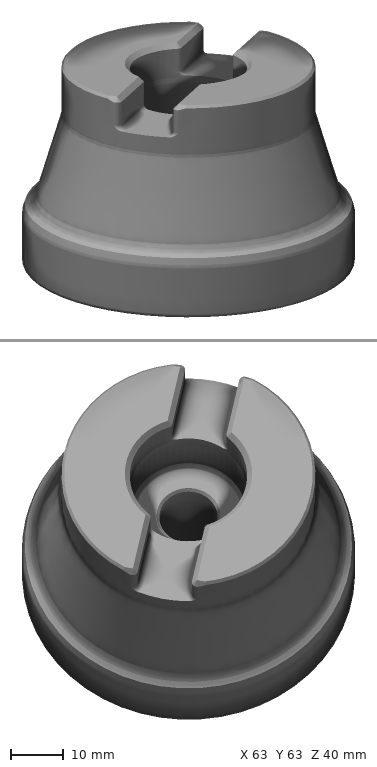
import cadquery as cq
import math

rim_radius = 31.5
total_height = 40.0

split_height = 12.1
split_radius = 61.2 / 2
disc_shoulder_radius = 30.95
disc_shoulder_height = 11.9
disc_corner_height = 10.35
disc_corner_fillet = 1.9
disc_bottom_fillet = 0.8

boss_radius = 48.0 / 2
boss_base_height = 29.95
boss_base_fillet = 1.9
boss_top_chamfer = 0.5
flare_radius = 29.1
flare_height = 13.05
flare_fillet = 2.5

bore_radius = 22.2 / 2
bore_step_height = 33.35
bore_taper_length = 1.1
lower_bore_radius = 22.0 / 2
lower_bore_depth = 16.7
seat_corner_chamfer = 0.75
seat_corner_fillet = 0.4
screw_hole_radius = 11.0 / 2
screw_hole_chamfer = 0.5

slot_width = 10.45
slot_depth = 6.4
slot_corner_round = 1.0
slot_floor_fillet = 0.95
slot_rim_chamfer = 0.95
slot_mouth_y = 23.1

slot_floor = total_height - slot_depth
seat_height = total_height - lower_bore_depth


def revolve_profile(points):
    """Solid of revolution about Z from (radius, height) points."""
    return cq.Workplane("XZ").polyline(points).close().revolve(360, (0, 0), (0, 1))


def circle_at(height):
    """Selector for the circular edge centred on Z nearest the given height."""
    return cq.selectors.NearestToPointSelector((0, 0, height))


def make_disc():
    disc = revolve_profile([
        (screw_hole_radius, 0),
        (rim_radius, 0),
        (rim_radius, disc_corner_height),
        (disc_shoulder_radius, disc_shoulder_height),
        (split_radius, split_height),
        (screw_hole_radius, split_height),
    ])
    disc = disc.edges(circle_at(disc_corner_height)).fillet(disc_corner_fillet)
    return disc.faces("<Z").edges(cq.selectors.RadiusNthSelector(-1)).fillet(disc_bottom_fillet)


def make_hub_blank():
    blank = revolve_profile([
        (0, split_height),
        (split_radius, split_height),
        (flare_radius, flare_height),
        (boss_radius, boss_base_height),
        (boss_radius, total_height - boss_top_chamfer),
        (boss_radius - boss_top_chamfer, total_height),
        (0, total_height),
    ])
    blank = blank.edges(circle_at(flare_height)).fillet(flare_fillet)
    return blank.edges(circle_at(boss_base_height)).fillet(boss_base_fillet)


def make_slot_cutter():
    """Slot with widened mouths and a round middle, rounded at its upright corners."""
    full_span = 2 * rim_radius
    floor_plane = cq.Workplane("XY").workplane(offset=slot_floor)
    cutter = floor_plane.rect(slot_width, full_span).extrude(slot_depth)
    cutter = cutter.union(floor_plane.circle(bore_radius).extrude(slot_depth))
    mouth_length = rim_radius - slot_mouth_y
    for side in (-1, 1):
        mouth_centre_y = side * (slot_mouth_y + mouth_length / 2)
        mouth = floor_plane.center(0, mouth_centre_y).rect(full_span, mouth_length).extrude(slot_depth)
        cutter = cutter.union(mouth)
    bore_corner_y = math.sqrt(bore_radius ** 2 - (slot_width / 2) ** 2)
    mid_height = slot_floor + slot_depth / 2
    for x in (-slot_width / 2, slot_width / 2):
        for y in (-slot_mouth_y, -bore_corner_y, bore_corner_y, slot_mouth_y):
            corner = cq.selectors.NearestToPointSelector((x, y, mid_height))
            cutter = cutter.edges("|Z").edges(corner).fillet(slot_corner_round)
    return cutter


def make_bore_cutter():
    """Bore with a shallow taper part way down, a flat screw seat and a through hole."""
    cutter = revolve_profile([
        (0, split_height),
        (screw_hole_radius, split_height),
        (screw_hole_radius, seat_height - screw_hole_chamfer),
        (screw_hole_radius + screw_hole_chamfer, seat_height),
        (lower_bore_radius - seat_corner_chamfer, seat_height),
        (lower_bore_radius, seat_height + seat_corner_chamfer),
        (lower_bore_radius, bore_step_height - bore_taper_length),
        (bore_radius, bore_step_height),
        (bore_radius, total_height),
        (0, total_height),
    ])
    seat_edge = cq.selectors.RadiusNthSelector(2)
    return cutter.edges(seat_edge).fillet(seat_corner_fillet)


def make_slot_void():
    """Everything removed above the slot floor, with a chamfer all round the slot rim."""
    slab = cq.Workplane("XY").workplane(offset=slot_floor).circle(rim_radius).extrude(slot_depth)
    rounded_cutter = make_slot_cutter().faces("<Z").edges().fillet(slot_floor_fillet)
    lugs = slab.cut(rounded_cutter).faces(">Z").edges().chamfer(slot_rim_chamfer)
    return slab.cut(lugs)


def make_hub():
    return make_hub_blank().cut(make_slot_void()).cut(make_bore_cutter())


disc = make_disc()
hub = make_hub()
result = cq.Compound.makeCompound([disc.val(), hub.val()])